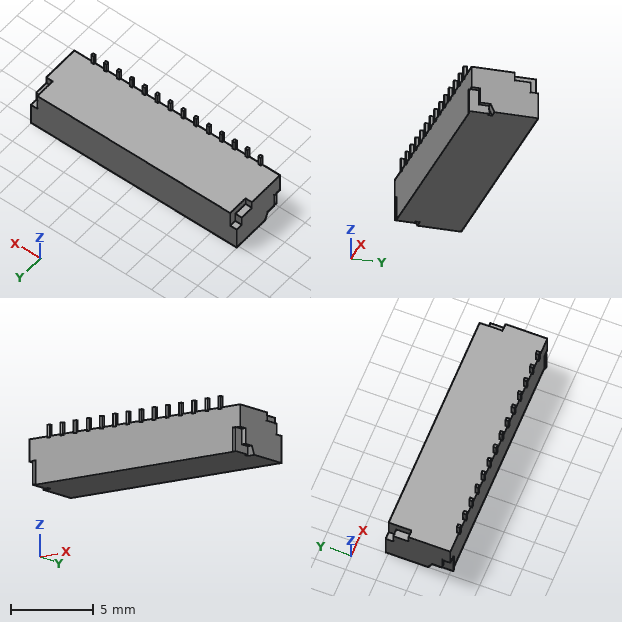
import cadquery as cq

housing_length = 16.0
housing_depth = 4.25
housing_height = 2.9
front_y = -housing_depth / 2
back_y = housing_depth / 2
end_x = housing_length / 2

pin_count = 14
pin_pitch = 1.0
pin_size = 0.2
pin_top = 3.6
pin_embed = 0.1

metal_proud = 0.07
metal_front_y = front_y - metal_proud

end_recess_depth = 0.5
recess_wall_x = end_x - end_recess_depth

tab_thickness = 0.2
tab_height = 1.5
tab_leg_length = 0.62
tab_foot_length = 1.27
tab_leg_back_y = metal_front_y + tab_leg_length
tab_foot_back_y = metal_front_y + tab_foot_length
tab_foot_height = 0.53
ramp_run = 0.25

back_recess_length = 1.5
back_recess_drop = 0.53
back_step_length = 0.5
back_step_drop = 1.2


def end_prism(points, inner_x, thickness):
    """Extrude a (Y, Z) outline along +X from inner_x."""
    return cq.Workplane("YZ").workplane(offset=inner_x).polyline(points).close().extrude(thickness)


def on_both_ends(solid):
    """Return the solid together with its mirror image at the other end."""
    return solid.union(solid.mirror("YZ"))


def make_housing():
    block = cq.Workplane("XY").box(
        housing_length, housing_depth, housing_height, centered=(True, True, False)
    )
    return block.cut(on_both_ends(make_front_recess())).cut(on_both_ends(make_back_recess()))


def tab_outline(foot_base_back_y):
    """L-shaped (Y, Z) outline; the back of the foot slopes when its base reaches further back."""
    return [
        (metal_front_y, 0),
        (foot_base_back_y, 0),
        (tab_foot_back_y, tab_foot_height),
        (tab_leg_back_y, tab_foot_height),
        (tab_leg_back_y, tab_height),
        (metal_front_y, tab_height),
    ]


def make_front_recess():
    """Room for the solder tab, with a ramp behind the tab foot."""
    return end_prism(tab_outline(tab_foot_back_y + ramp_run), recess_wall_x, end_recess_depth)


def make_back_recess():
    recess_floor_z = housing_height - back_recess_drop
    step_floor_z = housing_height - back_step_drop
    outline = [
        (back_y - back_recess_length, housing_height),
        (back_y - back_recess_length, recess_floor_z),
        (back_y - back_step_length, recess_floor_z),
        (back_y - back_step_length, step_floor_z),
        (back_y, step_floor_z),
        (back_y, housing_height),
    ]
    return end_prism(outline, recess_wall_x, end_recess_depth)


def make_solder_tab():
    """L-shaped plate lying against the inner wall of the front recess."""
    return end_prism(tab_outline(tab_foot_back_y), recess_wall_x, tab_thickness)


def make_pins():
    pin_bottom = housing_height - pin_embed
    first_pin_x = -(pin_count - 1) * pin_pitch / 2
    centres = [(first_pin_x + i * pin_pitch, metal_front_y + pin_size / 2) for i in range(pin_count)]
    return (
        cq.Workplane("XY")
        .workplane(offset=pin_bottom)
        .pushPoints(centres)
        .rect(pin_size, pin_size)
        .extrude(pin_top - pin_bottom)
    )


result = make_housing().union(on_both_ends(make_solder_tab())).union(make_pins())